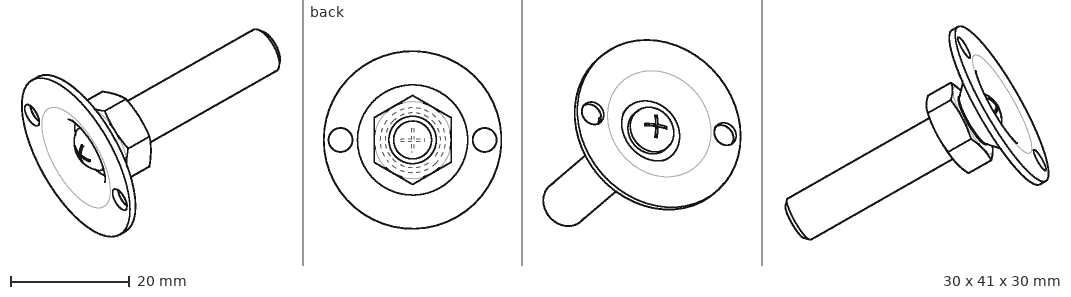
import cadquery as cq
import math


flange_dia = 30.0
flange_thickness = 1.2
screw_hole_dia = 4.0
screw_hole_offset = 12.15

hub_base_radius = 9.3
hub_top_radius = 4.65
hub_top = 5.6

recess_floor_radius = 5.5
flare_radius = 4.0
recess_depth = flare_radius
recess_mouth_radius = recess_floor_radius + flare_radius

nut_base = 5.8
nut_height = 5.2
nut_across_flats = 13.0
nut_across_corners = nut_across_flats / math.cos(math.pi / 6)
nut_top = nut_base + nut_height
nut_chamfer_angle = math.radians(18)
nut_chamfer_start_radius = nut_across_flats / 2
nut_chamfer_width = nut_across_corners / 2 - nut_chamfer_start_radius
nut_chamfer_height = nut_chamfer_width * math.tan(nut_chamfer_angle)

rod_dia = 8.0
rod_end = 41.0
rod_chamfer = 0.8

dome_base = 3.0
dome_height = 2.1
dome_crown = dome_base - dome_height
dome_base_radius = rod_dia / 2
slot_length = 4.0
slot_width = 0.4
slot_depth = 1.0


def revolve_about_y(profile):
    """Turn a closed XY profile fully around the Y axis."""
    return profile.close().revolve(360, (0, 0, 0), (0, 1, 0))


def make_foot():
    """Flange, conical hub and collar, without the recess."""
    return revolve_about_y(
        cq.Workplane("XY")
        .lineTo(flange_dia / 2, 0)
        .lineTo(flange_dia / 2, flange_thickness)
        .lineTo(hub_base_radius, flange_thickness)
        .lineTo(hub_top_radius, hub_top)
        .lineTo(hub_top_radius, nut_base)
        .lineTo(0, nut_base)
    )


def make_recess():
    """Bell-mouthed recess, tangent to the flange underside."""
    return revolve_about_y(
        cq.Workplane("XY")
        .lineTo(recess_mouth_radius, 0)
        .radiusArc((recess_floor_radius, recess_depth), flare_radius)
        .lineTo(0, recess_depth)
    )


def make_screw_holes():
    """Two through holes on the X axis of the flange."""
    return (
        cq.Workplane("XZ")
        .pushPoints([(-screw_hole_offset, 0), (screw_hole_offset, 0)])
        .circle(screw_hole_dia / 2)
        .extrude(-flange_thickness)
    )


def make_nut():
    """Hexagonal nut with corners on the Z axis, chamfered on both ends."""
    hexagon = (
        cq.Workplane("XZ", origin=(0, nut_base, 0))
        .transformed(rotate=(0, 0, 90))
        .polygon(6, nut_across_corners)
        .extrude(-nut_height)
    )
    chamfer_envelope = revolve_about_y(
        cq.Workplane("XY")
        .moveTo(0, nut_base)
        .lineTo(nut_chamfer_start_radius, nut_base)
        .lineTo(nut_across_corners / 2, nut_base + nut_chamfer_height)
        .lineTo(nut_across_corners / 2, nut_top - nut_chamfer_height)
        .lineTo(nut_chamfer_start_radius, nut_top)
        .lineTo(0, nut_top)
    )
    return hexagon.intersect(chamfer_envelope)


def make_rod():
    """Rod with a chamfered free end, starting at the recess floor."""
    return (
        cq.Workplane("XZ", origin=(0, recess_depth, 0))
        .circle(rod_dia / 2)
        .extrude(recess_depth - rod_end)
        .faces(">Y")
        .chamfer(rod_chamfer)
    )


def make_dome():
    """Short round neck on the recess floor, ending in a spherical cap towards -Y."""
    cap_radius = (dome_base_radius**2 + dome_height**2) / (2 * dome_height)
    return revolve_about_y(
        cq.Workplane("XY")
        .moveTo(0, recess_depth)
        .lineTo(dome_base_radius, recess_depth)
        .lineTo(dome_base_radius, dome_base)
        .radiusArc((0, dome_crown), cap_radius)
    )


def make_cross_slot():
    """Two crossed slots cut into the crown of the dome."""
    plane = cq.Workplane("XZ", origin=(0, dome_crown, 0))
    across = plane.rect(slot_length, slot_width).extrude(-slot_depth)
    upright = plane.rect(slot_width, slot_length).extrude(-slot_depth)
    return across.union(upright)


result = (
    make_foot()
    .cut(make_recess())
    .cut(make_screw_holes())
    .union(make_nut())
    .union(make_rod())
    .union(make_dome())
    .cut(make_cross_slot())
)